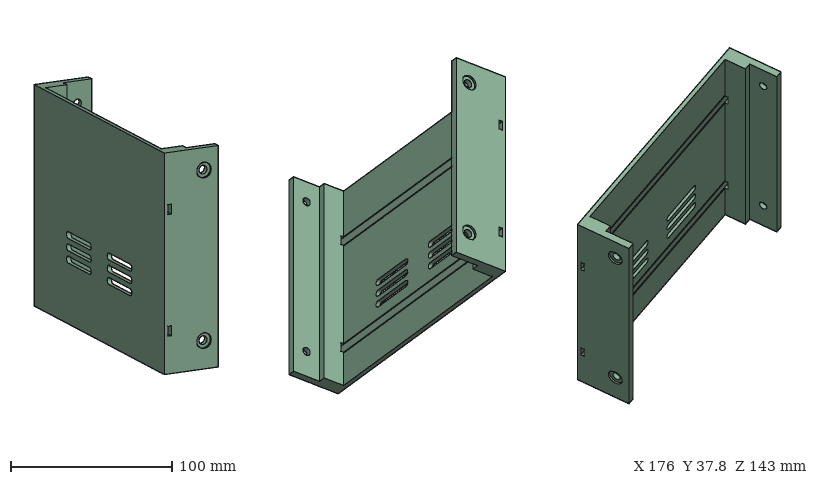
import cadquery as cq

width = 176.0
depth = 37.8
height = 143.0

plate_thickness = 3.0
wall_thickness = 5.0
ledge_thickness = 9.9
ledge_depth = 18.0

vent_length = 33.0
vent_width = 4.4
vent_pitch = 8.0
vent_rows = 3
vent_middle_z = 49.5
vent_edge_offset = 44.0

screw_diameter = 5.5
counterbore_diameter = 10.0
counterbore_depth = 1.4
screw_back_offset = 10.0
screw_lower_z = 18.3
screw_pitch = 110.0

window_depth = 2.5
window_height = 6.3
window_middle_y = 3.7
window_lower_z = 27.6
window_pitch = 78.5


def make_channel():
    """Stepped U-section with its front face on Y = 0, centred in X."""
    half = width / 2
    wall_inner = half - wall_thickness
    ledge_inner = half - ledge_thickness
    section = [
        (-half, 0),
        (half, 0),
        (half, depth),
        (wall_inner, depth),
        (wall_inner, ledge_depth),
        (ledge_inner, ledge_depth),
        (ledge_inner, plate_thickness),
        (-ledge_inner, plate_thickness),
        (-ledge_inner, ledge_depth),
        (-wall_inner, ledge_depth),
        (-wall_inner, depth),
        (-half, depth),
    ]
    return cq.Workplane("XY").polyline(section).close().extrude(height)


def make_vents():
    """Two mirrored columns of round-ended slots through the front plate."""
    column_x = width / 2 - vent_edge_offset - vent_length / 2
    middle_row = (vent_rows - 1) / 2
    centers = [
        (x, vent_middle_z + (row - middle_row) * vent_pitch)
        for x in (-column_x, column_x)
        for row in range(vent_rows)
    ]
    return cq.Workplane("XZ").pushPoints(centers).slot2D(vent_length, vent_width).extrude(-plate_thickness)


def make_screw_holes():
    """Through holes along X with a shallow counterbore in each outer side face."""
    screw_y = depth - screw_back_offset
    centers = [(screw_y, screw_lower_z), (screw_y, screw_lower_z + screw_pitch)]
    left_face = cq.Workplane("YZ", origin=(-width / 2, 0, 0)).pushPoints(centers)
    right_face = cq.Workplane("YZ", origin=(width / 2, 0, 0)).pushPoints(centers)
    holes = left_face.circle(screw_diameter / 2).extrude(width)
    left_bores = left_face.circle(counterbore_diameter / 2).extrude(counterbore_depth)
    right_bores = right_face.circle(counterbore_diameter / 2).extrude(-counterbore_depth)
    return holes.union(left_bores).union(right_bores)


def make_windows():
    """Rectangular openings along X, just behind the front face."""
    centers = [
        (window_middle_y, window_lower_z),
        (window_middle_y, window_lower_z + window_pitch),
    ]
    left_face = cq.Workplane("YZ", origin=(-width / 2, 0, 0)).pushPoints(centers)
    return left_face.rect(window_depth, window_height).extrude(width)


result = make_channel().cut(make_vents()).cut(make_screw_holes()).cut(make_windows())